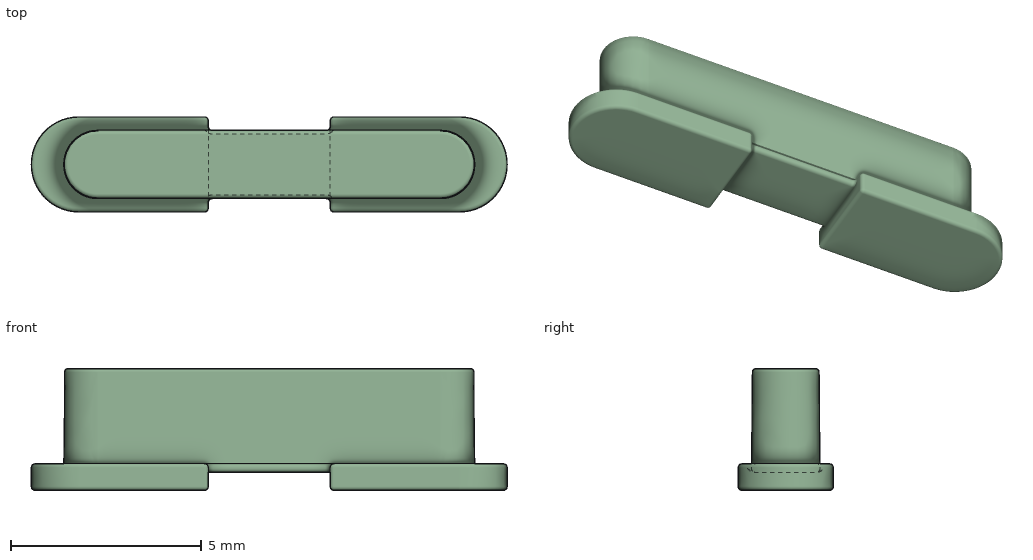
import cadquery as cq

base_length = 12.5
base_width = 2.5
base_height = 0.7
post_length = 10.8
post_width = 1.8
post_height = 2.5
post_draft = 0.5
edge_round = 0.1
notch_length = 3.2
web_thickness = 0.22

notch_depth = (base_width - post_width) / 2


def notched_plate(thickness):
    """Round-ended plate under the post, notched in both long sides, its top at base height."""
    plate = (
        cq.Workplane("XY", origin=(0, 0, base_height))
        .slot2D(base_length, base_width)
        .extrude(-thickness)
    )
    notches = (
        cq.Workplane("XY", origin=(0, 0, base_height))
        .pushPoints([(0, -base_width / 2), (0, base_width / 2)])
        .rect(notch_length, 2 * notch_depth)
        .extrude(-thickness)
    )
    middle = cq.selectors.BoxSelector(
        (-notch_length, -base_width, 0), (notch_length, base_width, base_height)
    )
    plate = plate.cut(notches).edges("|Z").edges(middle).fillet(edge_round)
    return plate.faces(">Z").edges().fillet(edge_round)


def make_feet():
    """Two full-height feet, one on each side of the gap."""
    gap = cq.Workplane("XY").box(
        notch_length, base_width, base_height, centered=(True, True, False)
    )
    feet = notched_plate(base_height).cut(gap)
    return feet.faces("<Z").edges().fillet(edge_round)


def make_web():
    """Thin plate that joins the feet, rounded along its lower edges."""
    return notched_plate(web_thickness).faces("<Z").edges().fillet(edge_round)


def make_post():
    """Tall round-ended post standing on the base."""
    return (
        cq.Workplane("XY", origin=(0, 0, base_height))
        .slot2D(post_length, post_width)
        .extrude(post_height, taper=post_draft)
        .faces(">Z").edges().fillet(edge_round)
    )


result = make_feet().union(make_web()).union(make_post())